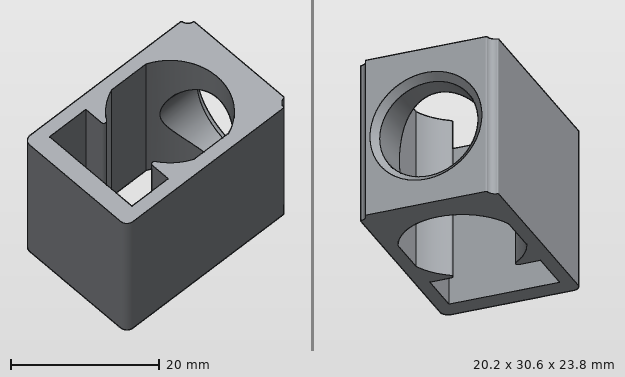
import cadquery as cq

width = 20.2
depth = 30.55
height = 23.8
corner_radius = 1.2
scoop_radius = 1.2
scoop_lip_radius = 0.18

opening_width = 16.2
bore_radius = 8.7
bore_y = 2.38
slot_wall = 2.9
slot_depth = 6.75
lip_radius = 0.4

back_hole_diameter = 14.35
back_hole_z = height / 2
back_hole_chamfer = 1.0


def make_block():
    block = cq.Workplane("XY").box(width, depth, height, centered=(True, True, False))
    block = block.edges("|Z and <Y").fillet(corner_radius)
    scoops = (
        cq.Workplane("XY")
        .pushPoints([(side * width / 2, depth / 2) for side in (-1, 1)])
        .circle(scoop_radius)
        .extrude(height)
    )
    block = block.cut(scoops)
    for side in (-1, 1):
        for x, y in (
            (side * (width / 2 - scoop_radius), depth / 2),
            (side * width / 2, depth / 2 - scoop_radius),
        ):
            lip_edge = cq.selectors.NearestToPointSelector((x, y, height / 2))
            block = block.edges(lip_edge).fillet(scoop_lip_radius)
    return block


def make_opening():
    bore = cq.Workplane("XY").center(0, bore_y).circle(bore_radius).extrude(height)
    flats = cq.Workplane("XY").box(opening_width, depth, height, centered=(True, True, False))
    slot_y = -depth / 2 + slot_wall + slot_depth / 2
    slot = (
        cq.Workplane("XY")
        .center(0, slot_y)
        .rect(opening_width, slot_depth)
        .extrude(height)
    )
    opening = bore.intersect(flats).union(slot)

    slot_top = slot_y + slot_depth / 2
    tip_x = (bore_radius**2 - (bore_y - slot_top) ** 2) ** 0.5
    for side in (-1, 1):
        tip = cq.selectors.NearestToPointSelector((side * tip_x, slot_top, height / 2))
        opening = opening.edges(tip).fillet(lip_radius)
    return opening


def make_back_hole():
    hole_length = depth / 2 - bore_y
    radius = back_hole_diameter / 2
    hole = (
        cq.Workplane("XZ", origin=(0, bore_y, back_hole_z))
        .circle(radius)
        .extrude(-hole_length)
    )
    flare = (
        cq.Workplane("XZ", origin=(0, depth / 2 - back_hole_chamfer, back_hole_z))
        .circle(radius)
        .workplane(offset=-back_hole_chamfer)
        .circle(radius + back_hole_chamfer)
        .loft()
    )
    return hole.union(flare)


result = make_block().cut(make_opening()).cut(make_back_hole())